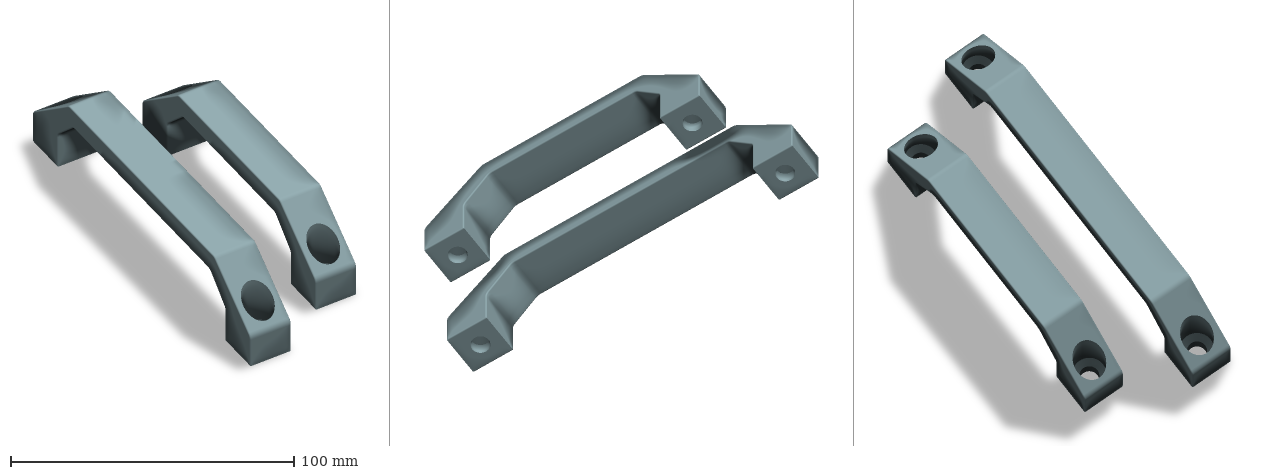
import cadquery as cq
long_length = 147.5
short_length = 117.5
handle_width = 17.0
handle_spacing = 36.1

height = 33.0
bar_thickness = 7.8
leg_width = 17.0
shoulder_height = 13.4
shoulder_run = 24.5
inner_leg_height = 14.8
inner_slope_run = 10.6
bend_radius = 3.0
edge_radius = 0.5

hole_inset = 8.7
hole_diameter = 7.1
head_diameter = 12.0
head_seat_height = 7.0
head_seat_depth = 2.0

underside = height - bar_thickness


def handle_profile(length):
    """Closed side outline in the XZ plane, standing on Z = 0."""
    end = length / 2
    leg_inside = end - leg_width
    right_half = [
        (end - shoulder_run, height),
        (end, shoulder_height),
        (end, 0),
        (leg_inside, 0),
        (leg_inside, inner_leg_height),
        (leg_inside - inner_slope_run, underside),
    ]
    left_half = [(-x, z) for x, z in reversed(right_half)]
    return cq.Workplane("XZ").polyline(right_half + left_half).close()


def round_bends(body, length):
    """Round the outer and inner bends at both ends."""
    end = length / 2
    leg_inside = end - leg_width
    bends = [
        (end, shoulder_height),
        (end - shoulder_run, height),
        (leg_inside, inner_leg_height),
        (leg_inside - inner_slope_run, underside),
    ]
    for x, z in bends:
        for side in (-1, 1):
            bend = cq.selectors.NearestToPointSelector((side * x, 0, z))
            body = body.edges("|Y").edges(bend).fillet(bend_radius)
    return body


def screw_hole(x):
    """Cutter for a through hole with a conical seat and a head clearance bore."""
    hole_radius = hole_diameter / 2
    head_radius = head_diameter / 2
    seat_bottom = head_seat_height - head_seat_depth
    half_section = [
        (0, 0),
        (hole_radius, 0),
        (hole_radius, seat_bottom),
        (head_radius, head_seat_height),
        (head_radius, height),
        (0, height),
    ]
    cutter = cq.Workplane("XZ").polyline(half_section).close().revolve(360, (0, 0), (0, 1))
    return cutter.translate((x, 0, 0))


def make_handle(length, y):
    """One complete pull handle, centred on X = 0 with its middle plane at the given Y."""
    body = handle_profile(length).extrude(handle_width / 2, both=True)
    body = round_bends(body, length)
    body = body.faces("<Y or >Y").edges().fillet(edge_radius)
    hole_x = length / 2 - hole_inset
    for side in (-1, 1):
        body = body.cut(screw_hole(side * hole_x))
    return body.translate((0, y, 0)).solids()


long_handle = make_handle(long_length, -handle_spacing / 2)
short_handle = make_handle(short_length, handle_spacing / 2)

result = cq.Compound.makeCompound([long_handle.val(), short_handle.val()])